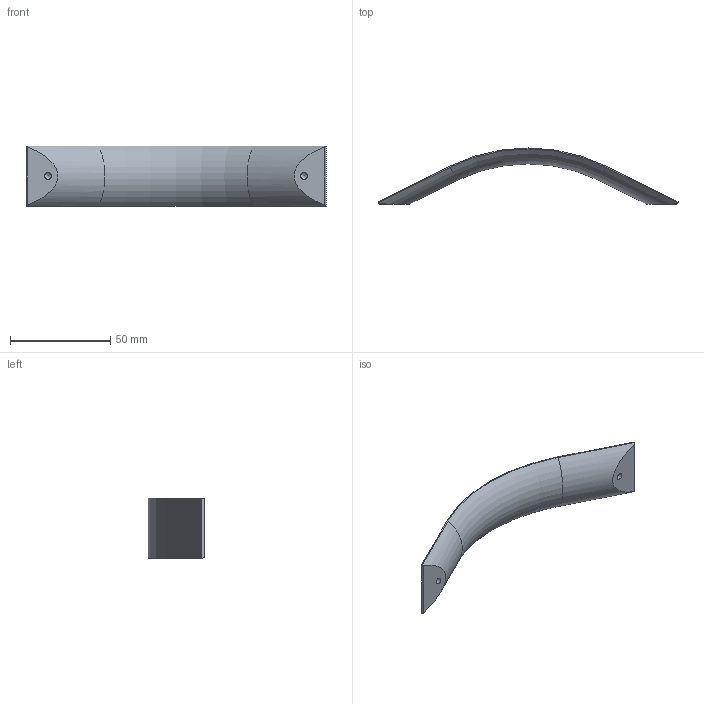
import cadquery as cq
import math

length = 150.0
height = 30.0
rise = 28.0
thickness = 8.0
edge_thickness = 0.5
bow_radius = 88.0
leg_angle = 26.4

hole_spacing = 128.0
hole_diameter = 3.2
hole_depth = 4.0
drill_tip_angle = 118.0

slope = math.radians(leg_angle)
bow_center_y = rise - bow_radius
bow_end_x = bow_radius * math.sin(slope)
bow_end_y = bow_center_y + bow_radius * math.cos(slope)
leg_length = (length / 2 - bow_end_x) / math.cos(slope)
hole_radius = hole_diameter / 2
drill_tip_length = hole_radius / math.tan(math.radians(drill_tip_angle / 2))

bow_end = cq.Plane(
    origin=(bow_end_x, bow_end_y, 0),
    xDir=(math.sin(slope), math.cos(slope), 0),
    normal=(math.cos(slope), -math.sin(slope), 0),
)


def d_section():
    """D section at the bow end: flat back, thin edges and an arc for the front."""
    half_height = height / 2
    return (
        cq.Workplane(bow_end)
        .moveTo(0, -half_height)
        .lineTo(-edge_thickness, -half_height)
        .threePointArc((-thickness, 0), (-edge_thickness, half_height))
        .lineTo(0, half_height)
        .close()
    )


def make_bow():
    """Curved middle: the section revolved about a Z axis through the bow centre."""
    axis_start = (-bow_radius, 0)
    axis_end = (-bow_radius, 1)
    return d_section().revolve(2 * leg_angle, axis_start, axis_end)


def make_leg():
    """Straight +X leg, tangent to the bow and cut square at its end."""
    return d_section().extrude(leg_length)


def cut_mounting_plane(body):
    """Remove everything in front of Y = 0, leaving a flat foot on each leg."""
    waste = cq.Workplane("XY").box(length, rise, height, centered=(True, False, True))
    return body.cut(waste.translate((0, -rise, 0)))


def cut_screw_holes(body):
    """Blind drilled hole with a conical bottom in each foot."""
    tip_y = hole_depth + drill_tip_length
    for x in (-hole_spacing / 2, hole_spacing / 2):
        hole = (
            cq.Workplane("XY", origin=(x, 0, 0))
            .lineTo(hole_radius, 0)
            .lineTo(hole_radius, hole_depth)
            .lineTo(0, tip_y)
            .close()
            .revolve(360, (0, 0), (0, 1))
        )
        body = body.cut(hole)
    return body


leg = make_leg()
handle = make_bow().union(leg).union(leg.mirror("YZ"))
handle = cut_mounting_plane(handle)
result = cut_screw_holes(handle)